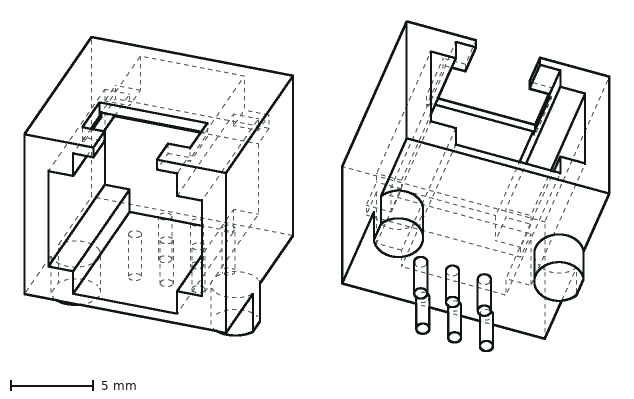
import cadquery as cq

width = 13.0
depth = 11.9
height = 11.4

cavity_width = 9.9
channel_width = 6.7
skin = 0.7
shoulder_height = 1.6
cavity_depth = 10.0

rear_wide_top_drop = 3.13
rear_wall_drop = 4.08

slot_neck_width = 4.1
slot_head_width = 6.95
slot_head_start = 1.97
slot_end = 5.0
slot_depth = 1.0

peg_radius = 1.5
peg_x = 5.15
peg_y = 5.4
peg_length = 2.7

pin_count = 6
pin_pitch = 1.02
pin_diameter = 0.8
pin_length = 3.05
row_spacing = 2.54
rear_row_y = 11.3
front_row_y = rear_row_y - row_spacing


def centred_box(x_size, y_start, y_end, z_start, z_end):
    """Box centred on X, between the given Y and Z limits."""
    box = cq.Workplane("XY").box(x_size, y_end - y_start, z_end - z_start, centered=(True, False, False))
    return box.translate((0, y_start, z_start))


def plug_cavity():
    """Space for the plug, open at the mating face."""
    channels = centred_box(channel_width, 0, cavity_depth, skin, height - skin)
    wide_bottom = skin + shoulder_height
    middle = centred_box(cavity_width, 0, cavity_depth, wide_bottom, height - wide_bottom)
    return channels.union(middle)


def rear_opening():
    """Stepped opening above the rear wall, continuing from the cavity to the back."""
    sill = height - rear_wall_drop
    channel = centred_box(channel_width, cavity_depth, depth, sill, height - skin)
    wide_part = centred_box(cavity_width, cavity_depth, depth, sill, height - rear_wide_top_drop)
    return channel.union(wide_part)


def latch_slot():
    """T-shaped slot for the plug latch."""
    floor = height - slot_depth
    neck = centred_box(slot_neck_width, 0, slot_end, floor, height)
    head = centred_box(slot_head_width, slot_head_start, slot_end, floor, height)
    return neck.union(head)


def locating_pegs():
    """Two round pegs, cut flat where they would pass the housing sides."""
    centres = [(-peg_x, peg_y), (peg_x, peg_y)]
    pegs = cq.Workplane("XY").pushPoints(centres).circle(peg_radius).extrude(-peg_length)
    return pegs.intersect(centred_box(width, 0, depth, -peg_length, 0))


def contact_pins():
    """Pins spaced evenly in X, alternating between the two rows."""
    first_x = -pin_pitch * (pin_count - 1) / 2
    rows = (front_row_y, rear_row_y)
    centres = [(first_x + i * pin_pitch, rows[i % len(rows)]) for i in range(pin_count)]
    return cq.Workplane("XY").pushPoints(centres).circle(pin_diameter / 2).extrude(-pin_length)


housing = centred_box(width, 0, depth, 0, height)
housing = housing.cut(plug_cavity()).cut(rear_opening()).cut(latch_slot())
result = housing.union(locating_pegs()).union(contact_pins())